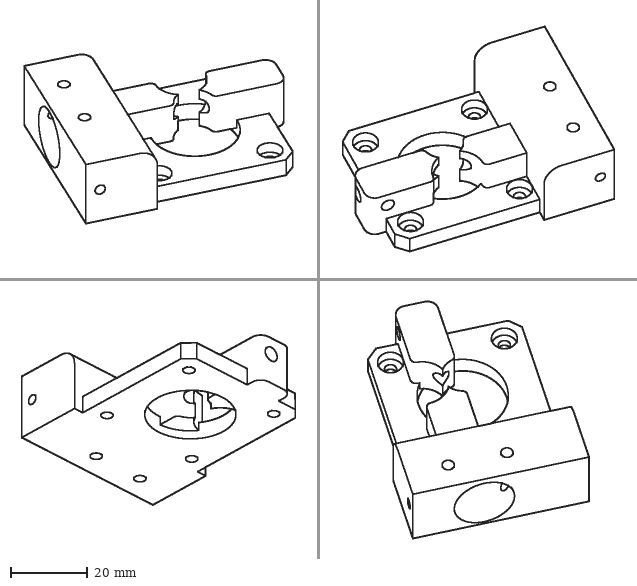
import cadquery as cq
import math

BLOCK_LENGTH = 48.0
BLOCK_DEPTH = 20.0
BLOCK_HEIGHT = 19.0
BLOCK_EDGE_RADIUS = 5.0

PLATE_WIDTH = 42.0
PLATE_THICKNESS = 5.0
PLATE_CHAMFER = 3.0
PLATE_END_Y = 60.0
MOTOR_Y = PLATE_END_Y - PLATE_WIDTH / 2
MOTOR_BORE_DIAMETER = 24.0
MOTOR_BOSS_CLEARANCE = 2.5
MOTOR_SCREW_SPACING = 31.0
MOTOR_SCREW_DIAMETER = 3.2
SCREW_HEAD_DIAMETER = 6.8
SCREW_HEAD_DEPTH = 3.0

GUIDE_LEFT_X = -12.0
GUIDE_RIGHT_X = -0.5
GUIDE_END_Y = 65.0
GUIDE_HEIGHT = 14.0
GUIDE_END_RADIUS = 3.0
IDLER_X = -11.0
IDLER_CLEARANCE_RADIUS = 7.0
GEAR_X = 0.0
GEAR_CLEARANCE_RADIUS = 5.5
WHEEL_LIP_RADIUS = 1.5

FILAMENT_X = -4.5
FILAMENT_Z = 9.0
FILAMENT_HOLE_DIAMETER = 4.2
HOTEND_DIAMETER = 16.4
HOTEND_DEPTH = 14.0
HOTEND_WEB = 0.4
FILAMENT_HOLE_START_Y = HOTEND_DEPTH + HOTEND_WEB

CLAMP_SCREW_DIAMETER = 3.2
CLAMP_SCREW_OFFSET = 8.0
CLAMP_SCREW_Y = 7.0
SIDE_HOLE_Z = 10.0
HINGE_HOLE_DIAMETER = 2.8
HINGE_HOLE_Y = 4.0
GUIDE_SCREW_DIAMETER = 3.6
GUIDE_SCREW_Y = 59.5
GUIDE_SCREW_DEPTH = 10.0


def cylinder_along_x(diameter, start_x, length, y, z):
    plane = cq.Plane(origin=(start_x, y, z), xDir=(0, 1, 0), normal=(1, 0, 0))
    return cq.Workplane(plane).circle(diameter / 2).extrude(length)


def cylinder_along_y(diameter, x, start_y, length, z):
    plane = cq.Plane(origin=(x, start_y, z), xDir=(1, 0, 0), normal=(0, 1, 0))
    return cq.Workplane(plane).circle(diameter / 2).extrude(length)


def make_block():
    block = cq.Workplane("XY").box(BLOCK_LENGTH, BLOCK_DEPTH, BLOCK_HEIGHT, centered=(True, False, False))
    return block.edges(">Y and >Z").fillet(BLOCK_EDGE_RADIUS)


def make_plate():
    plate_length = PLATE_END_Y - BLOCK_DEPTH
    plate = (
        cq.Workplane("XY", origin=(0, BLOCK_DEPTH, 0))
        .box(PLATE_WIDTH, plate_length, PLATE_THICKNESS, centered=(True, False, False))
        .edges("|Z and >Y")
        .chamfer(PLATE_CHAMFER)
    )
    plate_top = cq.Workplane("XY", origin=(0, MOTOR_Y, PLATE_THICKNESS))
    motor_bore = plate_top.circle(MOTOR_BORE_DIAMETER / 2).extrude(-PLATE_THICKNESS)
    screw_places = plate_top.rect(MOTOR_SCREW_SPACING, MOTOR_SCREW_SPACING, forConstruction=True).vertices()
    screw_holes = screw_places.circle(MOTOR_SCREW_DIAMETER / 2).extrude(-PLATE_THICKNESS)
    screw_heads = screw_places.circle(SCREW_HEAD_DIAMETER / 2).extrude(-SCREW_HEAD_DEPTH)
    return plate.cut(motor_bore).cut(screw_holes).cut(screw_heads)


def make_guide():
    """Wall along Y with a waist where the idler and drive gear circles overlap."""
    guide = (
        cq.Workplane("XY")
        .box(GUIDE_RIGHT_X - GUIDE_LEFT_X, GUIDE_END_Y - BLOCK_DEPTH, GUIDE_HEIGHT, centered=False)
        .translate((GUIDE_LEFT_X, BLOCK_DEPTH, 0))
        .edges("|Z and >Y")
        .fillet(GUIDE_END_RADIUS)
    )
    motor_boss = cq.Workplane("XY", origin=(0, MOTOR_Y, 0)).circle(MOTOR_BORE_DIAMETER / 2)
    boss_space = motor_boss.extrude(MOTOR_BOSS_CLEARANCE)
    for wheel_x, clearance, side_x in (
        (IDLER_X, IDLER_CLEARANCE_RADIUS, GUIDE_LEFT_X),
        (GEAR_X, GEAR_CLEARANCE_RADIUS, GUIDE_RIGHT_X),
    ):
        wheel = cq.Workplane("XY", origin=(wheel_x, MOTOR_Y, 0)).circle(clearance).extrude(GUIDE_HEIGHT)
        lip_half_width = math.sqrt(clearance**2 - (side_x - wheel_x) ** 2)
        guide = guide.cut(wheel)
        for end in (-1, 1):
            lip = cq.selectors.NearestToPointSelector(
                (side_x, MOTOR_Y + end * lip_half_width, GUIDE_HEIGHT / 2)
            )
            guide = guide.edges("|Z").edges(lip).fillet(WHEEL_LIP_RADIUS)
    return guide.cut(boss_space)


def cut_filament_path(body):
    hole_length = GUIDE_END_Y - FILAMENT_HOLE_START_Y
    filament_hole = cylinder_along_y(
        FILAMENT_HOLE_DIAMETER, FILAMENT_X, FILAMENT_HOLE_START_Y, hole_length, FILAMENT_Z
    )
    hotend_bore = cylinder_along_y(HOTEND_DIAMETER, FILAMENT_X, 0, HOTEND_DEPTH, FILAMENT_Z)
    return body.cut(filament_hole).cut(hotend_bore)


def cut_screw_holes(body):
    for side in (-1, 1):
        screw_x = FILAMENT_X + side * CLAMP_SCREW_OFFSET
        screw_plane = cq.Workplane("XY", origin=(screw_x, CLAMP_SCREW_Y, 0))
        body = body.cut(screw_plane.circle(CLAMP_SCREW_DIAMETER / 2).extrude(BLOCK_HEIGHT))
    hinge_hole = cylinder_along_x(
        HINGE_HOLE_DIAMETER, -BLOCK_LENGTH / 2, BLOCK_LENGTH, HINGE_HOLE_Y, SIDE_HOLE_Z
    )
    guide_screw_hole = cylinder_along_x(
        GUIDE_SCREW_DIAMETER, GUIDE_LEFT_X, GUIDE_SCREW_DEPTH, GUIDE_SCREW_Y, SIDE_HOLE_Z
    )
    return body.cut(hinge_hole).cut(guide_screw_hole)


body = make_block().union(make_plate()).union(make_guide())
result = cut_screw_holes(cut_filament_path(body))